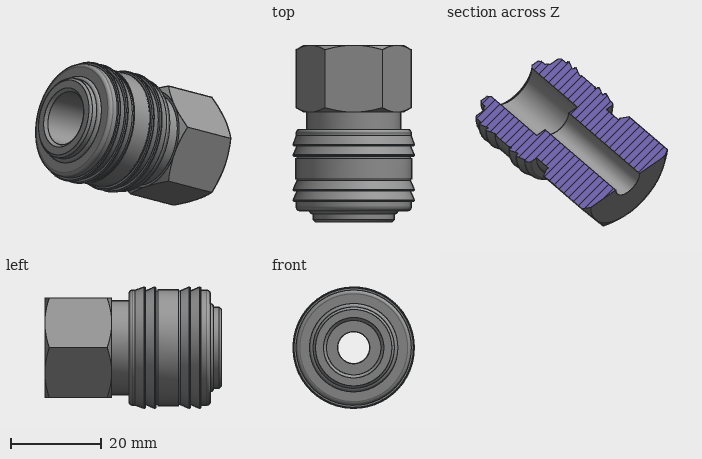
import cadquery as cq
import math

length = 39.0

hex_flats = 22.0
hex_start = 24.25
hex_corner_radius = hex_flats / math.sqrt(3)
hex_chamfer_angle = 30.0

neck_radius = 10.4
spigot_radius = 8.97
spigot_chamfer = 0.55
step_radius = 9.75
step_start = 1.8
step_round = 0.75
sleeve_start = 2.5
sleeve_end = 20.48
sleeve_radius = 12.7
sleeve_round = 0.8
band_radius = 12.85
band_start = 9.55
band_end = 14.08

groove_radius = 12.55
rib_diameter = 26.8
rib_radius = rib_diameter / 2
rib_pitch = 2.3
rib_bevel = 0.25
rib_land = 0.15
rib_group_starts = (4.52, 14.45)
ribs_per_group = 2

bore_radius = 6.0
bore_depth = 15.6
mouth_radius = 6.65
mouth_chamfer = mouth_radius - bore_radius
through_radius = 3.5


def revolve_profile(profile):
    """Turn a closed (radius, Y) profile about the Y axis."""
    return profile.close().revolve(360, (0, 0, 0), (0, 1, 0))


def disc(radius, start, end):
    """Make a cylinder about the Y axis between two Y positions."""
    profile = cq.Workplane("XY").moveTo(0, start).lineTo(radius, start).lineTo(radius, end).lineTo(0, end)
    return revolve_profile(profile)


def make_hex():
    """Hexagonal prism with its corners turned to a cone at both ends."""
    prism = (
        cq.Workplane("XZ", origin=(0, hex_start, 0))
        .polygon(6, 2 * hex_corner_radius)
        .extrude(hex_start - length)
    )
    end_radius = hex_flats / 2
    cone_length = (hex_corner_radius - end_radius) * math.tan(math.radians(hex_chamfer_angle))
    envelope = revolve_profile(
        cq.Workplane("XY")
        .moveTo(0, hex_start)
        .lineTo(end_radius, hex_start)
        .lineTo(hex_corner_radius, hex_start + cone_length)
        .lineTo(hex_corner_radius, length - cone_length)
        .lineTo(end_radius, length)
        .lineTo(0, length)
    )
    return prism.intersect(envelope)


def make_rib(start, foot_radius):
    """One sawtooth rib, steep at start and sloping back down to foot_radius."""
    land_start = start + rib_bevel
    return revolve_profile(
        cq.Workplane("XY")
        .moveTo(0, start)
        .lineTo(rib_radius - rib_bevel, start)
        .lineTo(rib_radius, land_start)
        .lineTo(rib_radius, land_start + rib_land)
        .lineTo(foot_radius, start + rib_pitch)
        .lineTo(0, start + rib_pitch)
    )


def make_sleeve():
    """Grip sleeve with rounded ends, a central band and two groups of ribs."""
    group_length = ribs_per_group * rib_pitch
    front_end = disc(sleeve_radius, sleeve_start, rib_group_starts[0]).faces("<Y").edges().fillet(sleeve_round)
    back_start = rib_group_starts[-1] + group_length - rib_pitch / 2
    back_end = disc(sleeve_radius, back_start, sleeve_end).faces(">Y").edges().fillet(sleeve_round)
    sleeve = disc(groove_radius, rib_group_starts[0], back_start)
    sleeve = sleeve.union(front_end).union(back_end).union(disc(band_radius, band_start, band_end))
    for group_start in rib_group_starts:
        for index in range(ribs_per_group):
            start = group_start + index * rib_pitch
            foot_radius = sleeve_radius if start > back_start - rib_pitch else groove_radius
            sleeve = sleeve.union(make_rib(start, foot_radius))
    return sleeve


def make_spigot():
    """Chamfered spigot at the mouth, with a rounded step behind it."""
    spigot = disc(spigot_radius, 0, sleeve_start).faces("<Y").edges().chamfer(spigot_chamfer)
    step = disc(step_radius, step_start, sleeve_start + step_round).faces("<Y").edges().fillet(step_round)
    return spigot.union(step)


def make_bore():
    """Through hole with a wider, chamfered blind bore at the mouth."""
    bore = revolve_profile(
        cq.Workplane("XY")
        .lineTo(mouth_radius, 0)
        .lineTo(bore_radius, mouth_chamfer)
        .lineTo(bore_radius, bore_depth)
        .lineTo(0, bore_depth)
    )
    return bore.union(disc(through_radius, 0, length))


neck = disc(neck_radius, sleeve_start, hex_start)
body = make_hex().union(neck).union(make_sleeve()).union(make_spigot())
result = body.cut(make_bore())